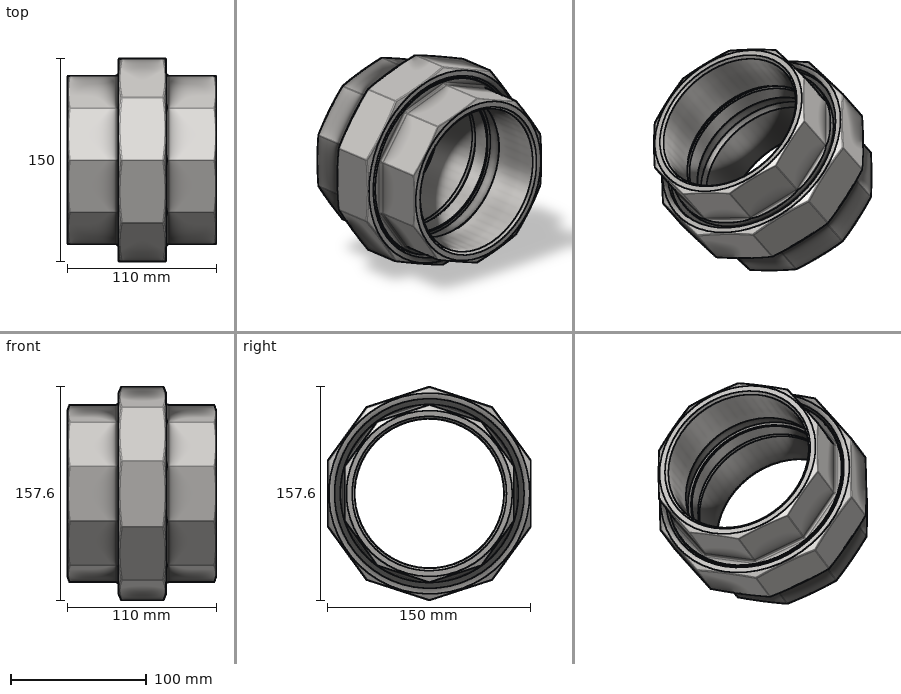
import cadquery as cq
import math


half_length = 55.0
side_count = 10
corner_ratio = 1 / math.cos(math.pi / side_count)
edge_round = 1.0

end_flats = 124.6
end_face_dia = 122.4
end_bevel_angle = 20.0
end_bevel_round = 0.5
neck_fillet = 2.0

bore_dia = 110.07
bore_mouth_dia = 114.0
thread_end_x = 15.0
tail_recess_dia = 116.0
body_groove_dia = 114.0
body_groove_start_x = 11.6
joint_x = -2.0
joint_chamfer = 0.7

nut_flats = 150.0
nut_left_x = -17.3
nut_right_x = 18.0
nut_face_dia = 148.2
nut_bevel_angle = 23.0
lip_bore_dia = 136.75
lip_mouth_dia = 140.0
lip_end_x = -10.0
nut_cavity_dia = 140.0

tail_flange_dia = 136.0
body_collar_dia = 131.5
male_thread_end_x = 13.0


def decagon(flats, x_start, x_end):
    """Decagonal bar along X with flats at +Y and -Y, corners at +Z and -Z and rounded long edges."""
    bar = (
        cq.Workplane("YZ", origin=(x_start, 0, 0))
        .transformed(rotate=(0, 0, 90))
        .polygon(side_count, flats * corner_ratio)
        .extrude(x_end - x_start)
    )
    return bar.edges("|X").fillet(edge_round)


def disc(dia, x_start, x_end):
    """Solid cylinder along X."""
    return cq.Workplane("YZ", origin=(x_start, 0, 0)).circle(dia / 2).extrude(x_end - x_start)


def turned(points):
    """Solid of revolution about X from (x, radius) points."""
    return cq.Workplane("XY").polyline(points).close().revolve(360, (0, 0, 0), (1, 0, 0))


def mouth(dia, inner_dia, face_x, inward):
    """45 degree countersink cutter; inward is +1 or -1, the direction along X into the part."""
    depth = (dia - inner_dia) / 2
    return turned([
        (face_x, 0),
        (face_x, dia / 2),
        (face_x + inward * depth, inner_dia / 2),
        (face_x + inward * depth, 0),
    ])


def recess(dia, thread_x, far_x):
    """Internal recess cutter from thread_x to far_x, with a 45 degree cone at the thread."""
    depth = (dia - bore_dia) / 2
    return turned([
        (thread_x, 0),
        (thread_x, bore_dia / 2),
        (thread_x + math.copysign(depth, far_x - thread_x), dia / 2),
        (far_x, dia / 2),
        (far_x, 0),
    ])


def bevel_envelope(face_dia, outer_dia, angle, face_x, far_x):
    """Turned envelope that bevels decagon corners at face_x; angle is measured from the face."""
    rise = (outer_dia - face_dia) / 2
    cone_length = rise * math.tan(math.radians(angle))
    return turned([
        (face_x, 0),
        (face_x, face_dia / 2),
        (face_x + math.copysign(cone_length, far_x - face_x), outer_dia / 2),
        (far_x, outer_dia / 2),
        (far_x, 0),
    ])


def round_bevels(part, radius):
    """Round the edges where the conical corner bevels run into the decagon."""
    return part.faces("%CONE").edges("not %CIRCLE").fillet(radius)


def threaded_end(shoulder_dia, shoulder_x, end_x):
    """Round shoulder from the joint to shoulder_x, then a decagonal end filleted into its face."""
    plate = disc(nut_flats, *sorted((joint_x, shoulder_x)))
    end = plate.union(decagon(end_flats, *sorted((joint_x, end_x))))

    neck_corner = (shoulder_x, 0, end_flats / 2 * corner_ratio - edge_round)
    neck_edge = cq.selectors.NearestToPointSelector(neck_corner)
    end = end.edges(neck_edge).fillet(neck_fillet)

    fillet_end_x = shoulder_x + math.copysign(neck_fillet, end_x - shoulder_x)
    shoulder_room = disc(shoulder_dia, *sorted((joint_x, fillet_end_x)))
    end_room = disc(nut_flats, *sorted((fillet_end_x, end_x)))
    end = end.intersect(shoulder_room.union(end_room))

    end = end.intersect(bevel_envelope(end_face_dia, nut_flats, end_bevel_angle, end_x, joint_x))
    return round_bevels(end, end_bevel_round)


tailpiece = threaded_end(tail_flange_dia, nut_left_x, -half_length)
tailpiece = tailpiece.union(disc(nut_cavity_dia, lip_end_x, joint_x))
tailpiece = tailpiece.cut(disc(bore_dia, -half_length, joint_x))
tailpiece = tailpiece.cut(recess(tail_recess_dia, -thread_end_x, joint_x))
tailpiece = tailpiece.cut(mouth(bore_mouth_dia, bore_dia, -half_length, 1))

body = threaded_end(body_collar_dia, nut_right_x, half_length)
body = body.union(disc(nut_cavity_dia, joint_x, male_thread_end_x))
body = body.cut(disc(bore_dia, joint_x, half_length))
body = body.cut(recess(body_groove_dia, thread_end_x, body_groove_start_x))
body = body.cut(mouth(bore_dia + 2 * joint_chamfer, bore_dia, joint_x, 1))
body = body.cut(mouth(bore_mouth_dia, bore_dia, half_length, -1))

nut = decagon(nut_flats, nut_left_x, nut_right_x)
nut_outer_dia = nut_flats * corner_ratio
for face_x, far_x in ((nut_left_x, nut_right_x), (nut_right_x, nut_left_x)):
    nut = nut.intersect(bevel_envelope(nut_face_dia, nut_outer_dia, nut_bevel_angle, face_x, far_x))
nut = round_bevels(nut, edge_round)
nut = nut.cut(disc(lip_bore_dia, nut_left_x, lip_end_x))
nut = nut.cut(disc(nut_cavity_dia, lip_end_x, nut_right_x))
nut = nut.cut(mouth(lip_mouth_dia, lip_bore_dia, nut_left_x, 1))

result = cq.Compound.makeCompound([
    *tailpiece.solids().vals(),
    *body.solids().vals(),
    *nut.solids().vals(),
])